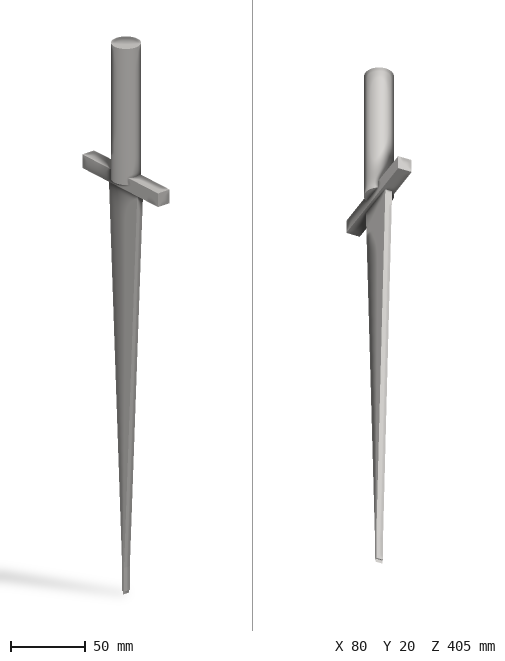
import cadquery as cq

GRIP_DIAMETER = 20.0
GRIP_LENGTH = 100.0

GUARD_LENGTH = 80.0
GUARD_SIDE = 10.0

BLADE_WIDTH = 30.0
BLADE_THICKNESS = 5.0
BLADE_LENGTH = 300.0

NECK_WIDTH = 2.0
NECK_END_ABOVE_TIP = 2.5


def make_grip():
    return cq.Workplane("XY").circle(GRIP_DIAMETER / 2).extrude(GRIP_LENGTH)


def make_guard():
    return cq.Workplane("XY").box(GUARD_LENGTH, GUARD_SIDE, GUARD_SIDE)


def make_blade():
    root_z = -GUARD_SIDE / 2
    tip_z = root_z - BLADE_LENGTH
    half_width_per_height = BLADE_WIDTH / 2 / BLADE_LENGTH
    neck_half_width = NECK_WIDTH / 2
    neck_top_z = tip_z + neck_half_width / half_width_per_height
    neck_end_z = tip_z + NECK_END_ABOVE_TIP
    spike_half_width = NECK_END_ABOVE_TIP * half_width_per_height
    outline = [
        (-BLADE_WIDTH / 2, root_z),
        (BLADE_WIDTH / 2, root_z),
        (neck_half_width, neck_top_z),
        (neck_half_width, neck_end_z),
        (spike_half_width, neck_end_z),
        (0, tip_z),
        (-spike_half_width, neck_end_z),
        (-neck_half_width, neck_end_z),
        (-neck_half_width, neck_top_z),
    ]
    return (
        cq.Workplane("XZ")
        .polyline(outline)
        .close()
        .extrude(BLADE_THICKNESS / 2, both=True)
    )


result = make_guard().union(make_grip()).union(make_blade())